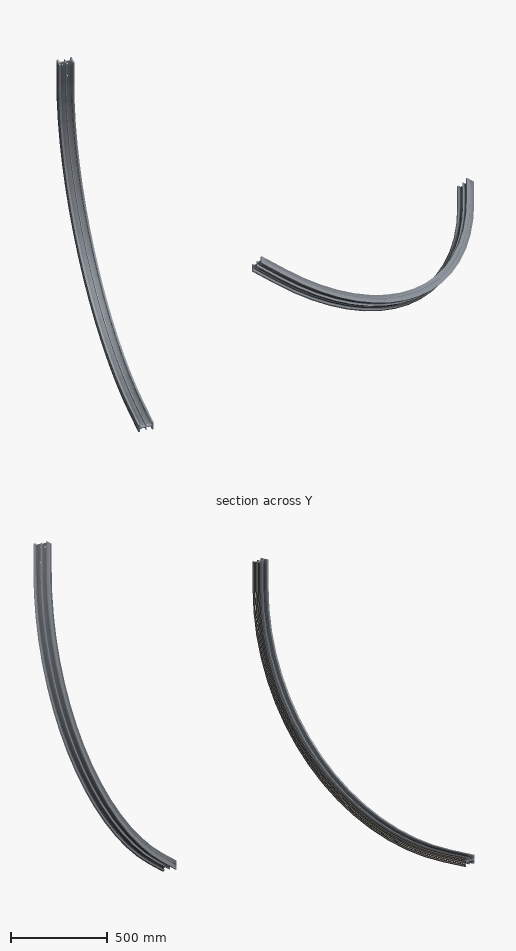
import cadquery as cq
import math

SIZE = 1399.0
RAIL_WIDTH = 83.0
RAIL_DEPTH = 48.0
STRAIGHT = 150.0
BEND_RADIUS = SIZE - STRAIGHT

WEB_THICKNESS = 4.0
LIP_WIDTH = 10.0
LIP_LENGTH = 13.0
LIP_BEVEL_WIDTH = 4.0
LIP_BEVEL_DROP = 1.0
WALL_THICKNESS = 6.3
FIN_THICKNESS = 1.0
FIN_SETBACK = 5.0
BEAD_WIDTH = 4.0
BEAD_LENGTH = 10.0
FOOT_HEIGHT = 4.0
WIDE_FOOT = 15.0
GROOVE_WIDTH = 8.0
GROOVE_DEPTH = 2.1

HOLE_DIAMETER = 8.0
END_HOLE_INSET = 20.0
HOLE_SPACING = 80.0
HOLE_Y = 11.0
SINGLE_HOLE_Y = -15.0

LABEL_LENGTH = 56.0
LABEL_WIDTH = 21.0
LABEL_DEPTH = 1.0
LABEL_Y = 17.0

HALF_WIDTH = RAIL_WIDTH / 2
MID_DEPTH = RAIL_DEPTH / 2
WEB_OUTER = MID_DEPTH - WEB_THICKNESS / 2


def bar(depth_start, depth_end, y_start, y_end):
    """Rectangle of the cross-section, with depth measured inward from the outer edge."""
    centre = ((depth_start + depth_end) / 2, (y_start + y_end) / 2)
    return cq.Sketch().push([centre]).rect(depth_end - depth_start, y_end - y_start)


def wall(side):
    """Side wall with a bevelled lip on each tip and a rounded groove along its outer face."""
    face = side * HALF_WIDTH
    tip = side * (HALF_WIDTH - LIP_WIDTH + LIP_BEVEL_WIDTH)
    lip = side * (HALF_WIDTH - LIP_WIDTH)
    neck = side * (HALF_WIDTH - WALL_THICKNESS)
    groove_start = (MID_DEPTH - GROOVE_WIDTH / 2, face)
    groove_floor = (MID_DEPTH, face - side * GROOVE_DEPTH)
    groove_end = (MID_DEPTH + GROOVE_WIDTH / 2, face)
    outline = [
        groove_end,
        (RAIL_DEPTH, face),
        (RAIL_DEPTH, tip),
        (RAIL_DEPTH - LIP_BEVEL_DROP, lip),
        (RAIL_DEPTH - LIP_LENGTH, lip),
        (RAIL_DEPTH - LIP_LENGTH, neck),
        (LIP_LENGTH, neck),
        (LIP_LENGTH, lip),
        (LIP_BEVEL_DROP, lip),
        (0, tip),
        (0, face),
        groove_start,
    ]
    sketch = cq.Sketch().arc(groove_start, groove_floor, groove_end)
    for start, end in zip(outline, outline[1:]):
        sketch = sketch.segment(start, end)
    return sketch.assemble()


def section():
    """Whole cross-section: two walls, the web with a foot at each wall, and the beaded fin."""
    wall_middle = HALF_WIDTH - WALL_THICKNESS / 2
    fin_end = RAIL_DEPTH - FIN_SETBACK
    half_fin = FIN_THICKNESS / 2
    half_bead = BEAD_WIDTH / 2
    foot_start = WEB_OUTER - FOOT_HEIGHT
    foot_end = RAIL_DEPTH - foot_start
    bars = [
        bar(WEB_OUTER, WEB_OUTER + WEB_THICKNESS, -wall_middle, wall_middle),
        bar(foot_start, foot_end, HALF_WIDTH - LIP_WIDTH, wall_middle),
        bar(foot_start, foot_end, -wall_middle, WIDE_FOOT - HALF_WIDTH),
        bar(FIN_SETBACK, fin_end, -half_fin, half_fin),
        bar(FIN_SETBACK, FIN_SETBACK + BEAD_LENGTH, -half_bead, half_bead),
        bar(fin_end - BEAD_LENGTH, fin_end, -half_bead, half_bead),
    ]
    profile = wall(1).face(wall(-1))
    for piece in bars:
        profile = profile.face(piece)
    return profile.clean()


def rail():
    """Sweep of the section down the upright straight, round the bend and along the level straight."""
    centre = BEND_RADIUS
    mid_arc = centre - BEND_RADIUS * math.cos(math.pi / 4)
    path = (
        cq.Workplane("XZ")
        .moveTo(0, SIZE)
        .lineTo(0, centre)
        .threePointArc((mid_arc, mid_arc), (centre, 0))
        .lineTo(SIZE, 0)
    )
    return cq.Workplane("XY", origin=(0, 0, SIZE)).placeSketch(section()).sweep(path)


def joint_holes():
    """Cutters through the web: three in the upright straight, three in the level one."""
    first = SIZE - END_HOLE_INSET
    second = first - HOLE_SPACING
    positions = [(first, HOLE_Y), (second, HOLE_Y), (first, SINGLE_HOLE_Y)]
    radius = HOLE_DIAMETER / 2
    start = WEB_OUTER - WEB_THICKNESS
    length = 3 * WEB_THICKNESS
    cutters = cq.Workplane()
    for along, y in positions:
        for base, direction in (((start, y, along), (1, 0, 0)), ((along, y, start), (0, 0, 1))):
            cutters = cutters.add(cq.Solid.makeCylinder(radius, length, base, direction))
    return cutters.combine()


def label_recess():
    """Shallow rectangular recess between the two holes of the upright straight."""
    z = SIZE - END_HOLE_INSET - HOLE_SPACING / 2
    return cq.Workplane("XY", origin=(WEB_OUTER, LABEL_Y, z)).box(2 * LABEL_DEPTH, LABEL_WIDTH, LABEL_LENGTH)


result = rail().cut(joint_holes()).cut(label_recess())